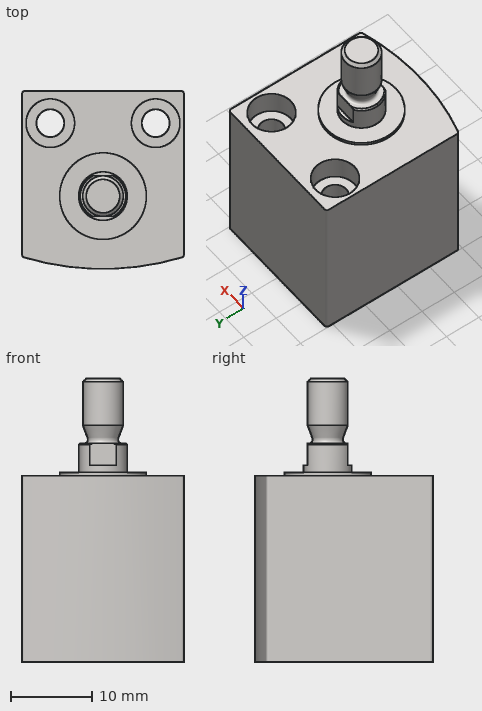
import cadquery as cq
import math


width = 20.0
back_y = 13.0
front_y = -9.0
housing_height = 23.0
front_arc_radius = 34.0
corner_radius = 0.4

collar_diameter = 10.7
collar_height = 0.4

hole_spacing = 13.0
hole_y = 9.0
hole_diameter = 3.4
counterbore_diameter = 6.0
counterbore_depth = 3.4

shank_diameter = 6.0
shank_top_z = 27.0
shank_chamfer = 0.2
across_flats = 5.0
flat_bottom_z = 24.3

neck_diameter = 3.8
neck_fillet = 0.4
neck_top_z = 27.62
stud_diameter = 5.0
stud_tip_diameter = 4.13
stud_bottom_z = 29.2
rod_top_z = 35.0

half_width = width / 2
front_arc_rise = front_arc_radius - math.sqrt(front_arc_radius**2 - half_width**2)
front_corner_y = front_y + front_arc_rise
collar_top_z = housing_height + collar_height


def make_housing():
    """Block with a bowed front, a collar and two counterbored through holes."""
    block = (
        cq.Workplane("XY")
        .moveTo(-half_width, back_y)
        .lineTo(-half_width, front_corner_y)
        .threePointArc((0, front_y), (half_width, front_corner_y))
        .lineTo(half_width, back_y)
        .close()
        .extrude(housing_height)
        .edges("|Z")
        .fillet(corner_radius)
    )
    collar = (
        cq.Workplane("XY", origin=(0, 0, housing_height))
        .circle(collar_diameter / 2)
        .extrude(collar_height)
    )
    hole_centres = [(side * hole_spacing / 2, hole_y) for side in (-1, 1)]
    drilled_block = (
        block.faces(">Z")
        .workplane(origin=(0, 0, housing_height))
        .pushPoints(hole_centres)
        .cboreHole(hole_diameter, counterbore_diameter, counterbore_depth)
    )
    return drilled_block.union(collar)


def make_rod():
    """Turned rod standing on the collar, with two flats cut into its shank."""
    shank_radius = shank_diameter / 2
    neck_radius = neck_diameter / 2
    stud_radius = stud_diameter / 2
    tip_radius = stud_tip_diameter / 2
    tip_chamfer = stud_radius - tip_radius

    cone_angle = math.atan((stud_radius - neck_radius) / (stud_bottom_z - neck_top_z))
    tangent_length = neck_fillet * math.tan(cone_angle / 2)
    blend_end_radius = neck_radius + tangent_length * math.sin(cone_angle)
    blend_end_z = neck_top_z + tangent_length * math.cos(cone_angle)

    turned = (
        cq.Workplane("XZ")
        .moveTo(0, collar_top_z)
        .lineTo(shank_radius, collar_top_z)
        .lineTo(shank_radius, shank_top_z - shank_chamfer)
        .lineTo(shank_radius - shank_chamfer, shank_top_z)
        .lineTo(neck_radius + neck_fillet, shank_top_z)
        .radiusArc((neck_radius, shank_top_z + neck_fillet), neck_fillet)
        .lineTo(neck_radius, neck_top_z - tangent_length)
        .radiusArc((blend_end_radius, blend_end_z), neck_fillet)
        .lineTo(stud_radius, stud_bottom_z)
        .lineTo(stud_radius, rod_top_z - tip_chamfer)
        .lineTo(tip_radius, rod_top_z)
        .lineTo(0, rod_top_z)
        .close()
        .revolve(360, (0, 0, 0), (0, 1, 0))
    )

    flat_height = shank_top_z - flat_bottom_z
    for side in (-1, 1):
        cutter_y = side * (across_flats + shank_diameter) / 2
        cutter = (
            cq.Workplane("XY", origin=(0, cutter_y, flat_bottom_z))
            .rect(2 * shank_diameter, shank_diameter)
            .extrude(flat_height)
        )
        turned = turned.cut(cutter)
    return turned


housing = make_housing()
rod = make_rod()

result = cq.Compound.makeCompound([housing.val(), rod.val()])